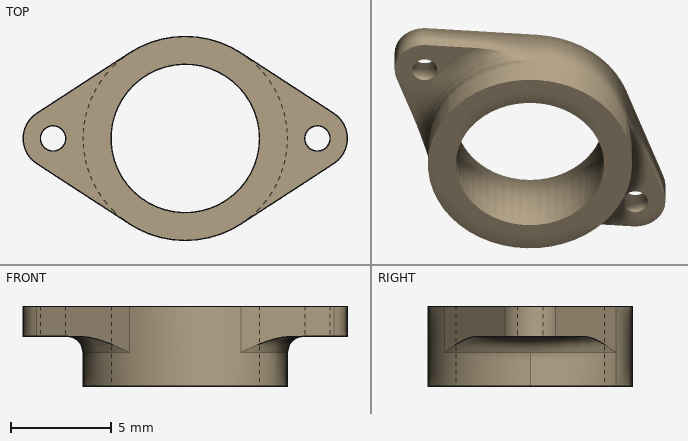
import cadquery as cq
import math

total_height = 4.0
flange_thickness = 1.5
barrel_diameter = 10.2
bore_diameter = 7.4
flange_length = 16.2
ear_radius = 1.5
screw_hole_diameter = 1.25
fillet_radius = 0.8

barrel_radius = barrel_diameter / 2
ear_offset = flange_length / 2 - ear_radius
flange_bottom = total_height - flange_thickness

tangent_angle = math.acos((barrel_radius - ear_radius) / ear_offset)
barrel_tangent_x = barrel_radius * math.cos(tangent_angle)
barrel_tangent_y = barrel_radius * math.sin(tangent_angle)
ear_tangent_x = ear_offset + ear_radius * math.cos(tangent_angle)
ear_tangent_y = ear_radius * math.sin(tangent_angle)


def make_outline_prism():
    """Diamond-shaped flange outline, extruded over the full height."""
    return (
        cq.Workplane("XY")
        .moveTo(-barrel_tangent_x, barrel_tangent_y)
        .threePointArc((0, barrel_radius), (barrel_tangent_x, barrel_tangent_y))
        .lineTo(ear_tangent_x, ear_tangent_y)
        .threePointArc((flange_length / 2, 0), (ear_tangent_x, -ear_tangent_y))
        .lineTo(barrel_tangent_x, -barrel_tangent_y)
        .threePointArc((0, -barrel_radius), (-barrel_tangent_x, -barrel_tangent_y))
        .lineTo(-ear_tangent_x, -ear_tangent_y)
        .threePointArc((-flange_length / 2, 0), (-ear_tangent_x, ear_tangent_y))
        .close()
        .extrude(total_height)
    )


def make_undercut():
    """Ring removed below the flange, leaving the barrel and its concave fillet."""
    fillet_start = flange_bottom - fillet_radius
    fillet_outer = barrel_radius + fillet_radius
    arc_reach = fillet_radius * math.sqrt(0.5)
    arc_middle = (fillet_outer - arc_reach, fillet_start + arc_reach)
    return (
        cq.Workplane("XZ")
        .moveTo(barrel_radius, 0)
        .lineTo(barrel_radius, fillet_start)
        .threePointArc(arc_middle, (fillet_outer, flange_bottom))
        .lineTo(flange_length, flange_bottom)
        .lineTo(flange_length, 0)
        .close()
        .revolve(360, (0, 0, 0), (0, 1, 0))
    )


def make_through_holes():
    bore = cq.Workplane("XY").circle(bore_diameter / 2).extrude(total_height)
    screw_holes = (
        cq.Workplane("XY")
        .pushPoints([(-ear_offset, 0), (ear_offset, 0)])
        .circle(screw_hole_diameter / 2)
        .extrude(total_height)
    )
    return bore.union(screw_holes)


body = make_outline_prism().cut(make_undercut())
result = body.cut(make_through_holes())